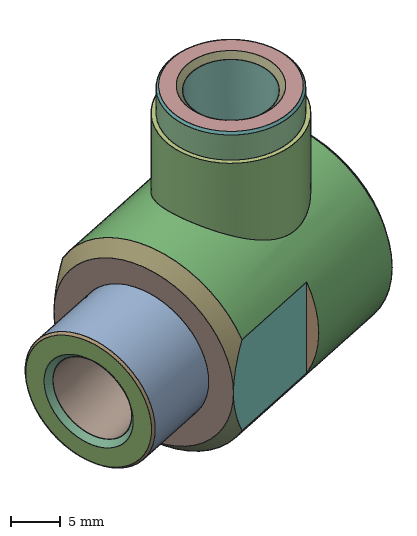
import cadquery as cq


body_radius = 12.5
body_back = 11.0
body_length = 26.0
back_chamfer = 0.75
front_chamfer = 1.48
flat_length = 12.6
across_flats = 2 * (body_radius - front_chamfer)

spigot_radius = 8.0
spigot_length = 9.47
collar_diameter = 15.0
collar_length = 3.5
outlet_height = 24.5
rim_chamfer = 0.25

bore_mouth_radius = 5.48
bore_start_radius = 4.85
bore_end_radius = 4.45
bore_chamfer_depth = 0.63

body_front = body_back - body_length
spigot_front = body_front - spigot_length
outlet_length = outlet_height - body_radius

front_plane = cq.Plane(origin=(0, spigot_front, 0), xDir=(1, 0, 0), normal=(0, 1, 0))
body_plane = cq.Plane(origin=(0, body_front, 0), xDir=(1, 0, 0), normal=(0, 1, 0))
outlet_plane = cq.Plane(origin=(0, 0, outlet_height), xDir=(1, 0, 0), normal=(0, 0, -1))


def make_body():
    """Chamfered cylinder with two wrench flats at its front end."""
    body = cq.Workplane(body_plane).circle(body_radius).extrude(body_length)
    body = body.faces("<Y").chamfer(front_chamfer)
    body = body.faces(">Y").chamfer(back_chamfer)
    cutter = cq.Workplane("XY").box(body_radius, flat_length, 2 * body_radius)
    cutter_x = (across_flats + body_radius) / 2
    cutter_y = body_front + flat_length / 2
    for side in (-1, 1):
        body = body.cut(cutter.translate((side * cutter_x, cutter_y, 0)))
    return body


def make_cone(plane, start_radius, end_radius, depth):
    """Cone frustum going inward from the plane."""
    start = cq.Workplane(plane).circle(start_radius)
    return start.workplane(offset=depth).circle(end_radius).loft()


def cut_bore(spigot, plane, end_radius, depth):
    """Cut a tapered bore with a chamfered mouth into a spigot."""
    mouth = make_cone(plane, bore_mouth_radius, bore_start_radius, bore_chamfer_depth)
    taper = make_cone(plane, bore_start_radius, end_radius, depth)
    return spigot.cut(mouth).cut(taper)


def make_front_spigot():
    """Bored spigot that ends on the front face of the body."""
    spigot = cq.Workplane(front_plane).circle(spigot_radius).extrude(spigot_length)
    spigot = spigot.faces("<Y").chamfer(rim_chamfer)
    return cut_bore(spigot, front_plane, bore_end_radius, spigot_length)


def make_outlet():
    """Bored upright spigot with a narrower collar, running down into the body."""
    collar = cq.Workplane(outlet_plane).circle(collar_diameter / 2).extrude(collar_length)
    collar = collar.faces(">Z").chamfer(rim_chamfer)
    stem = (
        cq.Workplane("XY")
        .circle(spigot_radius)
        .extrude(outlet_height - collar_length)
    )
    taper_rate = (bore_start_radius - bore_end_radius) / outlet_length
    axis_radius = bore_start_radius - taper_rate * outlet_height
    return cut_bore(collar.union(stem), outlet_plane, axis_radius, outlet_height)


result = make_body().union(make_front_spigot()).union(make_outlet())